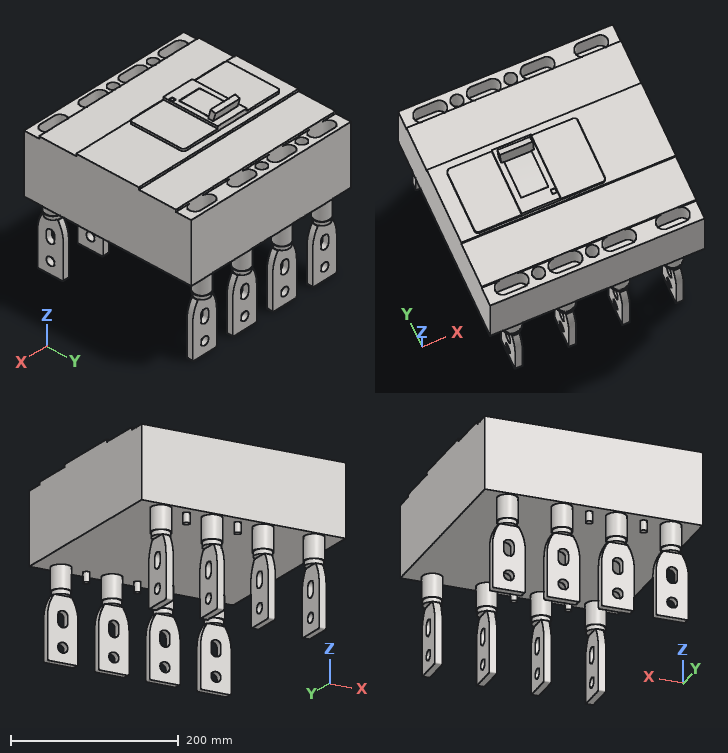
import cadquery as cq
import math


case_width = 280.0
case_depth = 273.3
shelf_height = 96.3
deck_height = 103.3
step_rise = (deck_height - shelf_height) / 2
lower_step_depth = 223.5
upper_step_depth = 102.2

pole_count = 4
pole_pitch = 70.0
pole_positions = [pole_pitch * (i - (pole_count - 1) / 2) for i in range(pole_count)]
row_offset = 121.2

pocket_length = 42.8
pocket_depth = 33.5
pocket_width = 2 * (row_offset - lower_step_depth / 2)

panel_x = -34.7
panel_y = -4.0
panel_width = 170.0
panel_depth = 89.0
panel_thickness = 3.5
panel_corner_radius = 4.8
frame_width = 51.0
frame_top = deck_height + 2 * panel_thickness

window_width = 35.5
window_depth = 50.7
window_sag = 0.8
window_y = -4.2

marker_size = 6.0
marker_depth = 0.8
marker_edge_gap = 1.0
marker_y = -37.2

lever_width = 42.8
lever_thickness = 8.0
lever_lean = 16.0
lever_front_y = window_y + window_depth / 2
lever_tip_height = 125.7
lever_root = 2.8

stem_diameter = 25.8
stem_bottom = -30.8
neck_diameter = 23.5
neck_bottom = -37.0
blade_bottom = -122.5
blade_width = 42.0
blade_thickness = 9.8
blade_top_width = 24.5
shoulder_bottom = -65.5
blade_corner_radius = 2.0
blade_hole_diameter = 13.2
blade_hole_z = -102.8
blade_slot_length = 21.3
blade_slot_z = -66.5

screw_positions = [(x, side * row_offset) for x in (-pole_pitch, 0.0) for side in (-1, 1)]
shank_diameter = 8.5
shank_bottom = -13.2
head_diameter = 16.0
head_height = 6.2
head_flat_diameter = 6.0
head_seat_height = 56.0


def block(width, depth, bottom, top, x=0.0, y=0.0):
    """A box centred on (x, y) between two heights."""
    box = cq.Workplane("XY").box(width, depth, top - bottom, centered=(True, True, False))
    return box.translate((x, y, bottom))


def cylinder(diameter, bottom, top):
    """A cylinder on the Z axis between two heights."""
    return cq.Workplane("XY").workplane(offset=bottom).circle(diameter / 2).extrude(top - bottom)


def make_case():
    """The stepped case with its oblong pockets."""
    case = block(case_width, case_depth, 0, shelf_height)
    case = case.union(block(case_width, lower_step_depth, 0, shelf_height + step_rise))
    case = case.union(block(case_width, upper_step_depth, 0, deck_height))
    pockets = (
        cq.Workplane("XY")
        .workplane(offset=shelf_height - pocket_depth)
        .pushPoints([(x, side * row_offset) for x in pole_positions for side in (-1, 1)])
        .slot2D(pocket_length, pocket_width)
        .extrude(pocket_depth)
    )
    return case.cut(pockets)


def make_window_cut():
    """Material above the crowned window, whose middle is level with the toggle frame."""
    half = window_depth / 2
    edge_z = frame_top - window_sag
    profile = (
        cq.Workplane("YZ")
        .moveTo(window_y - half, edge_z)
        .threePointArc((window_y, frame_top), (window_y + half, edge_z))
        .lineTo(window_y + half, frame_top + window_sag)
        .lineTo(window_y - half, frame_top + window_sag)
        .close()
    )
    return profile.extrude(window_width / 2, both=True).translate((panel_x, 0, 0))


def make_lever():
    """The toggle lever, a leaning slab with a square end, rooted in the frame."""
    lean = math.radians(lever_lean)
    root_z = frame_top - lever_root
    front_root_y = lever_front_y - lever_root * math.tan(lean)
    front_tip_y = lever_front_y + (lever_tip_height - frame_top) * math.tan(lean)
    back_tip_y = front_tip_y + lever_thickness * math.cos(lean)
    back_tip_z = lever_tip_height - lever_thickness * math.sin(lean)
    profile = (
        cq.Workplane("YZ")
        .moveTo(front_root_y, root_z)
        .lineTo(front_tip_y, lever_tip_height)
        .lineTo(back_tip_y, back_tip_z)
        .lineTo(front_root_y + lever_thickness / math.cos(lean), root_z)
        .close()
    )
    return profile.extrude(lever_width / 2, both=True).translate((panel_x, 0, 0))


def make_panel():
    """The rounded front panel with the toggle frame, window, marker recess and lever."""
    panel_top = deck_height + panel_thickness
    panel = block(panel_width, panel_depth, deck_height, panel_top, panel_x, panel_y)
    panel = panel.edges("|Z").fillet(panel_corner_radius)
    frame = block(frame_width, panel_depth, deck_height, frame_top, panel_x, panel_y)
    marker_x = panel_x + frame_width / 2 - marker_edge_gap - marker_size / 2
    marker = block(marker_size, marker_size, frame_top - marker_depth, frame_top, marker_x, marker_y)
    return panel.union(frame).cut(make_window_cut()).cut(marker).union(make_lever())


def make_blade():
    """A flat blade across X with arched shoulders, a slot and a round hole."""
    half = blade_width / 2
    half_top = blade_top_width / 2
    drop = neck_bottom - shoulder_bottom
    inset = half - half_top
    radius = (drop**2 + inset**2) / (2 * inset)
    half_angle = math.asin(drop / radius) / 2
    mid_x = half - radius * (1 - math.cos(half_angle))
    mid_z = shoulder_bottom + radius * math.sin(half_angle)
    blade = (
        cq.Workplane("XZ")
        .moveTo(-half, blade_bottom)
        .lineTo(half, blade_bottom)
        .lineTo(half, shoulder_bottom)
        .threePointArc((mid_x, mid_z), (half_top, neck_bottom))
        .lineTo(-half_top, neck_bottom)
        .threePointArc((-mid_x, mid_z), (-half, shoulder_bottom))
        .close()
        .extrude(blade_thickness / 2, both=True)
    )
    blade = blade.faces("<Z").edges("|Y").fillet(blade_corner_radius)
    slot = cq.Workplane("XZ").center(0, blade_slot_z).slot2D(blade_slot_length, blade_hole_diameter, 90)
    hole = cq.Workplane("XZ").center(0, blade_hole_z).circle(blade_hole_diameter / 2)
    return blade.cut(slot.extrude(blade_width, both=True)).cut(hole.extrude(blade_width, both=True))


def make_terminal():
    """One terminal on the Z axis, hanging from the underside of the case."""
    stem = cylinder(stem_diameter, stem_bottom, 0)
    neck = cylinder(neck_diameter, neck_bottom, stem_bottom)
    return stem.union(neck).union(make_blade())


def make_screw():
    """One screw on the Z axis, its head rounded down to a small flat."""
    dome_radius = (head_diameter - head_flat_diameter) / 2
    head = cylinder(head_diameter, head_seat_height, head_seat_height + head_height)
    head = head.faces(">Z").edges().fillet(dome_radius)
    return cylinder(shank_diameter, shank_bottom, head_seat_height).union(head)


def make_screw_hole():
    """The stepped hole that one screw sits in."""
    bore = cylinder(shank_diameter, 0, head_seat_height)
    return bore.union(cylinder(head_diameter, head_seat_height, shelf_height))


breaker = make_case().union(make_panel())
rear_terminal = make_terminal()
front_terminal = rear_terminal.rotate((0, 0, 0), (0, 0, 1), 90)
for pole_x in pole_positions:
    breaker = breaker.union(rear_terminal.translate((pole_x, row_offset, 0)))
    breaker = breaker.union(front_terminal.translate((pole_x, -row_offset, 0)))

screws = []
for screw_x, screw_y in screw_positions:
    breaker = breaker.cut(make_screw_hole().translate((screw_x, screw_y, 0)))
    screws.append(make_screw().translate((screw_x, screw_y, 0)).solids().val())

result = cq.Compound.makeCompound([breaker.solids().val(), *screws])